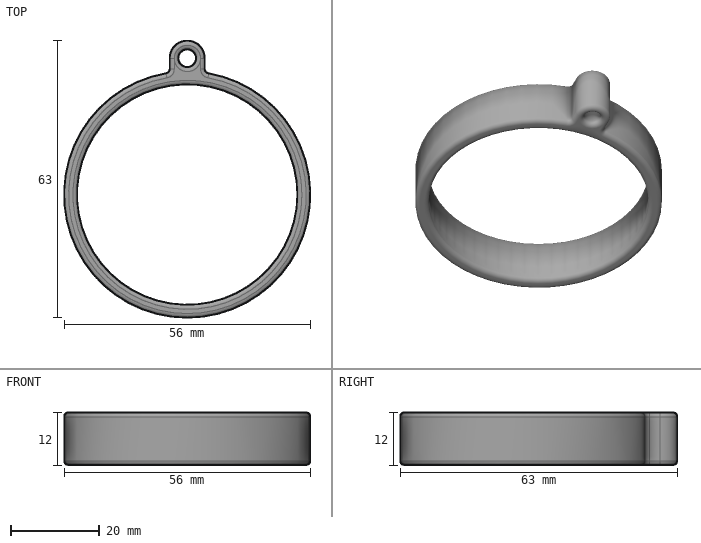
import cadquery as cq
import math

total_length = 63.0
height = 12.0
ring_outer_diameter = 56.0
ring_inner_diameter = 50.0
eyelet_diameter = 8.0
eyelet_hole_diameter = 4.0
neck_radius = 1.0
edge_radius = 1.0
crest_flat = 0.005

ring_radius = ring_outer_diameter / 2
eyelet_radius = eyelet_diameter / 2
eyelet_y = total_length - ring_radius - eyelet_radius
eyelet_wall = (eyelet_diameter - eyelet_hole_diameter) / 2
hole_edge_radius = eyelet_wall - edge_radius - crest_flat

neck_x = eyelet_radius + neck_radius
neck_y = math.sqrt((ring_radius + neck_radius) ** 2 - neck_x ** 2)
ring_share = ring_radius / (ring_radius + neck_radius)
neck_end = (neck_x * ring_share, neck_y * ring_share)
neck_middle_angle = math.pi + math.atan2(neck_y, neck_x) / 2
neck_middle = (
    neck_x + neck_radius * math.cos(neck_middle_angle),
    neck_y + neck_radius * math.sin(neck_middle_angle),
)


def mirrored(point):
    """Return the point on the other side of the YZ plane."""
    return (-point[0], point[1])


def outer_body():
    """Solid with the ring and eyelet outline, rounded at both ends."""
    side_start = (eyelet_radius, neck_y)
    side_end = (eyelet_radius, eyelet_y)
    return (
        cq.Workplane("XY")
        .moveTo(*neck_end)
        .threePointArc(neck_middle, side_start)
        .lineTo(*side_end)
        .threePointArc((0, eyelet_y + eyelet_radius), mirrored(side_end))
        .lineTo(*mirrored(side_start))
        .threePointArc(mirrored(neck_middle), mirrored(neck_end))
        .threePointArc((0, -ring_radius), neck_end)
        .close()
        .extrude(height)
        .faces("<Z or >Z")
        .edges()
        .fillet(edge_radius)
    )


def rounded_opening(diameter, rounding, center_y):
    """Cutter for a through opening whose rims flare out along a quarter round."""
    radius = diameter / 2
    rim_radius = radius + rounding
    bend = rounding * (1 - math.sqrt(0.5))
    return (
        cq.Workplane("XZ")
        .lineTo(rim_radius, 0)
        .threePointArc((radius + bend, bend), (radius, rounding))
        .lineTo(radius, height - rounding)
        .threePointArc((radius + bend, height - bend), (rim_radius, height))
        .lineTo(0, height)
        .close()
        .revolve(360, (0, 0), (0, 1))
        .translate((0, center_y, 0))
    )


bore = rounded_opening(ring_inner_diameter, edge_radius, 0)
eyelet_hole = rounded_opening(eyelet_hole_diameter, hole_edge_radius, eyelet_y)
ring = outer_body().cut(bore).cut(eyelet_hole)

result = cq.Compound.makeCompound([ring.val()])